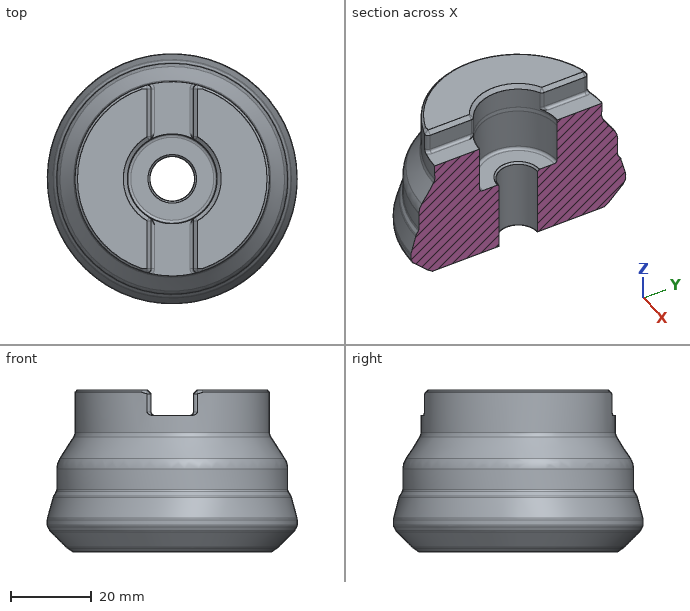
import cadquery as cq
import math

TOTAL_HEIGHT = 40.01
BODY_RADIUS = 61.74 / 2
BASE_RADIUS = 24.55

SPIGOT_RADIUS = 48.0 / 2
SPIGOT_BASE_Z = 28.9
SPIGOT_RIM_CHAMFER = 0.6
SPIGOT_BLEND = 2.0

COLLAR_RADIUS = 57.03 / 2
COLLAR_TOP_Z = 21.87
COLLAR_BASE_Z = 15.08
COLLAR_TOP_BLEND = 5.0
COLLAR_BASE_BLEND = 1.0

FLANK_TOP_RADIUS = 29.38
FLANK_TOP_Z = 13.65
FLANK_BLEND = 1.5

BELT_TOP_Z = 8.13
BELT_BASE_Z = 6.4
BELT_TOP_BLEND = 2.0
BELT_BASE_BLEND = 1.0

BASE_CONE_TOP_RADIUS = 30.1
BASE_CONE_TOP_Z = 5.05
BASE_CONE_TOP_BLEND = 1.5
BASE_CONE_BOTTOM_RADIUS = 25.95
BASE_CONE_BOTTOM_Z = 0.95
BASE_CONE_BOTTOM_BLEND = 3.0

SLOT_WIDTH = 10.4
SLOT_DEPTH = 6.3
SLOT_FLOOR_FILLET = 0.8
TOP_CHAMFER = 1.0
CORNER_RADIUS = 1.02

ENTRY_RADIUS = 22.2 / 2
ENTRY_DEPTH = 6.8
ENTRY_TAPER_LENGTH = 1.15
BORE_RADIUS = 22.01 / 2
BORE_DEPTH = 20.0
BORE_FLOOR_FILLET = 0.75
HOLE_RADIUS = 11.0 / 2
HOLE_CHAMFER = 0.5

SLOT_HALF_WIDTH = SLOT_WIDTH / 2
SLOT_FLOOR_Z = TOTAL_HEIGHT - SLOT_DEPTH
ENTRY_BASE_Z = TOTAL_HEIGHT - ENTRY_DEPTH
BORE_TOP_Z = ENTRY_BASE_Z - ENTRY_TAPER_LENGTH
BORE_FLOOR_Z = TOTAL_HEIGHT - BORE_DEPTH
LUG_HALF_LENGTH = math.sqrt(SPIGOT_RADIUS**2 - (SLOT_HALF_WIDTH + CORNER_RADIUS) ** 2)
BLOCK_CLEARANCE = 5.0
BLOCK_HALF = BODY_RADIUS + BLOCK_CLEARANCE

SELECT_MARGIN = 0.05


def edges_at_height(z):
    """Selector for edges at height z, leaving out the outer border of the block."""
    reach = BLOCK_HALF - SELECT_MARGIN
    return cq.selectors.BoxSelector(
        (-reach, -reach, z - SELECT_MARGIN),
        (reach, reach, z + SELECT_MARGIN),
    )


def revolve_half_profile(profile):
    """Turn a closed half profile in the XZ plane around the Z axis."""
    return profile.close().revolve(360, (0, 0, 0), (0, 1, 0))


def turned_body():
    """Outside shape, with each corner rounded by its own blend radius."""
    corners = [
        (BASE_CONE_BOTTOM_RADIUS, BASE_CONE_BOTTOM_Z, BASE_CONE_BOTTOM_BLEND),
        (BASE_CONE_TOP_RADIUS, BASE_CONE_TOP_Z, BASE_CONE_TOP_BLEND),
        (BODY_RADIUS, BELT_BASE_Z, BELT_BASE_BLEND),
        (BODY_RADIUS, BELT_TOP_Z, BELT_TOP_BLEND),
        (FLANK_TOP_RADIUS, FLANK_TOP_Z, FLANK_BLEND),
        (COLLAR_RADIUS, COLLAR_BASE_Z, COLLAR_BASE_BLEND),
        (COLLAR_RADIUS, COLLAR_TOP_Z, COLLAR_TOP_BLEND),
        (SPIGOT_RADIUS, SPIGOT_BASE_Z, SPIGOT_BLEND),
    ]
    profile = cq.Workplane("XZ").moveTo(0, 0).lineTo(BASE_RADIUS, 0)
    for radius, z, _ in corners:
        profile = profile.lineTo(radius, z)
    profile = profile.lineTo(SPIGOT_RADIUS, TOTAL_HEIGHT).lineTo(0, TOTAL_HEIGHT)
    body = revolve_half_profile(profile)
    body = body.faces(">Z").edges().chamfer(SPIGOT_RIM_CHAMFER)
    for _, z, blend in corners:
        body = body.edges(edges_at_height(z)).fillet(blend)
    return body


def slotted_block():
    """Oversize block with two lugs on top; the gap between them is the drive slot."""
    block = cq.Workplane("XY").rect(2 * BLOCK_HALF, 2 * BLOCK_HALF).extrude(SLOT_FLOOR_Z)
    lug = (
        cq.Workplane("XY", origin=(SLOT_HALF_WIDTH, 0, SLOT_FLOOR_Z))
        .rect(BLOCK_HALF - SLOT_HALF_WIDTH, 2 * LUG_HALF_LENGTH, centered=(False, True))
        .extrude(SLOT_DEPTH)
        .edges("|Z and <X")
        .fillet(CORNER_RADIUS)
    )
    block = block.union(lug).union(lug.mirror("YZ"))
    return block.edges(edges_at_height(SLOT_FLOOR_Z)).fillet(SLOT_FLOOR_FILLET)


def open_bore_entry(block):
    """Cut the bore entry between the lugs and round the corners where it meets the slot."""
    entry = cq.Workplane("XY", origin=(0, 0, SLOT_FLOOR_Z)).circle(ENTRY_RADIUS).extrude(SLOT_DEPTH)
    block = block.cut(entry)
    corner_y = math.sqrt(ENTRY_RADIUS**2 - SLOT_HALF_WIDTH**2)
    corner_mid_z = (SLOT_FLOOR_Z + SLOT_FLOOR_FILLET + TOTAL_HEIGHT) / 2
    for side_x in (-1, 1):
        for side_y in (-1, 1):
            corner = (side_x * SLOT_HALF_WIDTH, side_y * corner_y, corner_mid_z)
            block = block.edges(cq.selectors.NearestToPointSelector(corner)).fillet(CORNER_RADIUS)
    return block


def chamfer_top_edges(block):
    """Chamfer the top edges of the lugs along the slot, its mouths and the bore entry."""
    return block.edges(edges_at_height(TOTAL_HEIGHT)).chamfer(TOP_CHAMFER)


def bore_cutter():
    """Stepped bore: entry, short taper, main bore with filleted floor, through hole."""
    profile = (
        cq.Workplane("XZ")
        .moveTo(0, 0)
        .lineTo(HOLE_RADIUS, 0)
        .lineTo(HOLE_RADIUS, BORE_FLOOR_Z - HOLE_CHAMFER)
        .lineTo(HOLE_RADIUS + HOLE_CHAMFER, BORE_FLOOR_Z)
        .lineTo(BORE_RADIUS - BORE_FLOOR_FILLET, BORE_FLOOR_Z)
        .radiusArc((BORE_RADIUS, BORE_FLOOR_Z + BORE_FLOOR_FILLET), -BORE_FLOOR_FILLET)
        .lineTo(BORE_RADIUS, BORE_TOP_Z)
        .lineTo(ENTRY_RADIUS, ENTRY_BASE_Z)
        .lineTo(ENTRY_RADIUS, TOTAL_HEIGHT)
        .lineTo(0, TOTAL_HEIGHT)
    )
    return revolve_half_profile(profile)


block = chamfer_top_edges(open_bore_entry(slotted_block()))
result = turned_body().cut(bore_cutter()).intersect(block)